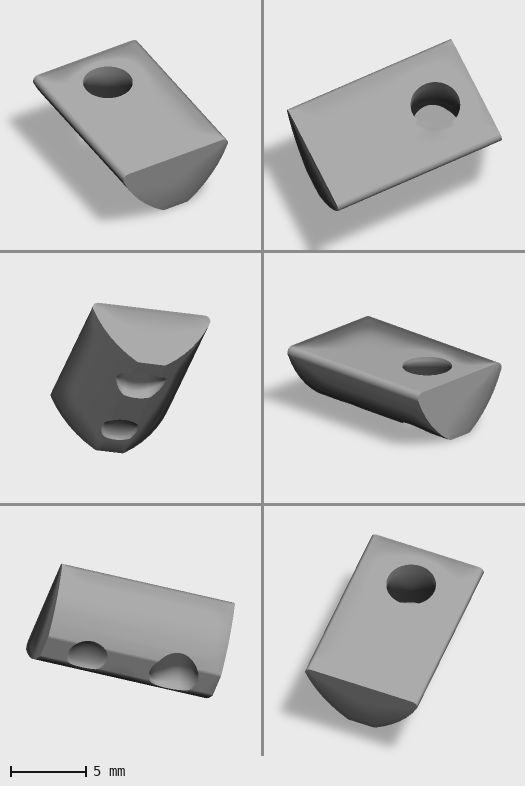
import cadquery as cq

length = 12.0
height = 4.2

top_half_width = 4.18
middle_half_width = 2.83
middle_height = 1.72
bottom_half_width = 0.94
top_corner_radius = 0.4
bottom_corner_radius = 0.36

feature_offset = length / 4
through_hole_diameter = 3.3
dimple_ball_diameter = 3.0
dimple_depth = 0.84


def make_body():
    """Extrude the bowed section along X and round its long edges."""
    section = (
        cq.Workplane("YZ", origin=(-length / 2, 0, 0))
        .moveTo(-bottom_half_width, 0)
        .lineTo(bottom_half_width, 0)
        .threePointArc((middle_half_width, middle_height), (top_half_width, height))
        .lineTo(-top_half_width, height)
        .threePointArc((-middle_half_width, middle_height), (-bottom_half_width, 0))
        .close()
    )
    body = section.extrude(length)
    body = body.faces(">Z").edges("|X").fillet(top_corner_radius)
    return body.faces("<Z").edges("|X").fillet(bottom_corner_radius)


def make_through_hole():
    """Vertical cylinder through the full height."""
    return cq.Workplane("XY").center(-feature_offset, 0).circle(through_hole_diameter / 2).extrude(height)


def make_dimple_ball():
    """Ball whose top reaches the dimple depth above the narrow face."""
    radius = dimple_ball_diameter / 2
    return cq.Workplane("XY").sphere(radius).translate((feature_offset, 0, dimple_depth - radius))


result = make_body().cut(make_through_hole()).cut(make_dimple_ball())